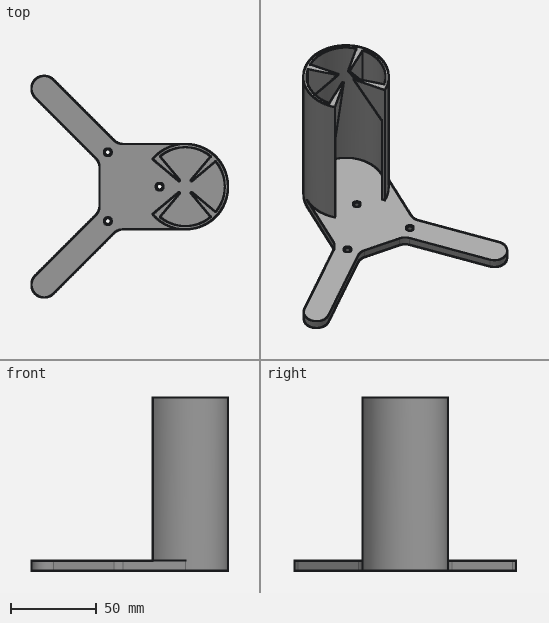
import cadquery as cq
import math

plate_thickness = 6.0
tube_height = 95.0
tube_radius = 25.0
body_length = 50.0
arm_radius = 7.5
arm_span = 129.3
arm_reach = arm_span / 2 - arm_radius - tube_radius
corner_fillet = 7.5

hole_diameter = 3.5
countersink_diameter = 4.5
countersink_angle = 90
pair_hole_x = -45.1
pair_hole_y = 20.0
single_hole_x = -15.0

wall_thickness = 2.0
inner_radius = tube_radius - wall_thickness
rib_angle = 10
rib_tip_radius = 4.8
rib_slope_height = 27.1
rib_directions = (45, 135, 225, 315)
opening_half_angle = 45 - rib_angle / 2

overall_height = plate_thickness + tube_height


def polar(radius, degrees):
    angle = math.radians(degrees)
    return radius * math.cos(angle), radius * math.sin(angle)


def sector(radius, direction, half_angle, height):
    """Solid pie slice about the tube axis, standing on the plate."""
    return (
        cq.Workplane("XY", origin=(0, 0, plate_thickness))
        .lineTo(*polar(radius, direction - half_angle))
        .threePointArc(polar(radius, direction), polar(radius, direction + half_angle))
        .close()
        .extrude(height)
    )


def make_arm(side):
    """Arm from the body corner to its rounded tip; side is +1 or -1 in Y."""
    root_x = -body_length
    root_y = side * tube_radius
    length = arm_reach * math.sqrt(2)
    inset = 2 * arm_radius
    arm = (
        cq.Workplane("XY")
        .moveTo(-inset, -arm_radius)
        .lineTo(length, -arm_radius)
        .threePointArc((length + arm_radius, 0), (length, arm_radius))
        .lineTo(-inset, arm_radius)
        .close()
        .extrude(plate_thickness)
    )
    return arm.rotate((0, 0, 0), (0, 0, 1), side * 135).translate((root_x, root_y, 0))


def make_plate():
    body = (
        cq.Workplane("XY")
        .moveTo(-body_length, -tube_radius)
        .lineTo(0, -tube_radius)
        .threePointArc((tube_radius, 0), (0, tube_radius))
        .lineTo(-body_length, tube_radius)
        .close()
        .extrude(plate_thickness)
    )
    plate = body.union(make_arm(1)).union(make_arm(-1))

    arm_edge_offset = arm_radius * math.sqrt(2)
    for side in (1, -1):
        side_corner = (-body_length + arm_edge_offset, side * tube_radius, plate_thickness / 2)
        end_corner = (-body_length, side * (tube_radius - arm_edge_offset), plate_thickness / 2)
        for corner in (side_corner, end_corner):
            plate = plate.edges(cq.selectors.NearestToPointSelector(corner)).fillet(corner_fillet)

    hole_centers = [(pair_hole_x, pair_hole_y), (pair_hole_x, -pair_hole_y), (single_hole_x, 0)]
    return (
        plate.faces(">Z")
        .workplane(origin=(0, 0, plate_thickness))
        .pushPoints(hole_centers)
        .cskHole(hole_diameter, countersink_diameter, countersink_angle)
    )


def make_tube():
    ring = (
        cq.Workplane("XY", origin=(0, 0, plate_thickness))
        .circle(tube_radius)
        .circle(inner_radius)
        .extrude(tube_height)
    )
    opening = sector(2 * tube_radius, 180, opening_half_angle, tube_height)
    return ring.cut(opening)


def make_ribs():
    """Wedges under the rim whose lower edges slope down to the wall."""
    rib_middle_radius = (inner_radius + tube_radius) / 2
    slope_bottom = overall_height - rib_slope_height
    profile = (
        cq.Workplane("XZ")
        .moveTo(rib_tip_radius, overall_height)
        .lineTo(inner_radius, slope_bottom)
        .lineTo(rib_middle_radius, slope_bottom)
        .lineTo(rib_middle_radius, overall_height)
        .close()
    )
    sloped_ring = profile.revolve(360, (0, 0, 0), (0, 1, 0))
    ribs = cq.Workplane("XY")
    for direction in rib_directions:
        ribs.add(sloped_ring.intersect(sector(tube_radius, direction, rib_angle / 2, tube_height)))
    return ribs.combine()


result = make_plate().union(make_tube()).union(make_ribs())